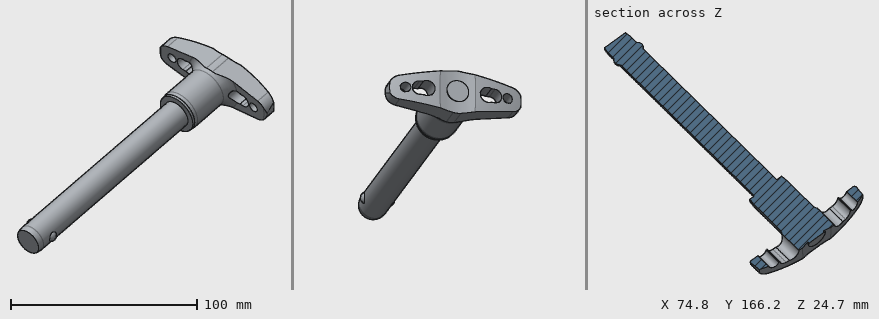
import cadquery as cq
import math


pin_radius = 8.0
pin_length = 124.0
pin_end_radius = 7.4
pin_end_length = 3.5

ball_radius = 3.3
ball_reach = 9.5
ball_from_end = 11.3

sleeve_radius = 11.75
sleeve_end_radius = 11.5
sleeve_end_length = 2.1
collar_radius = 11.4
collar_thickness = 1.5
flare_radius = 5.4

overall_length = 166.2
handle_length = 74.8
handle_width = 24.66
tip_radius = 7.1
underside_depth = 11.7
rim_depth = 12.15
rim_draft_depth = 10.9
rim_draft_angle = 6.0
rim_edge_radius = 1.5
crest_offset = 10.0
crest_radius = 80.0
valley_depth = 1.35

hole_radius = 2.75
hole_offset = 28.5
slot_inner_radius = 4.35
slot_inner_offset = 17.0
slot_outer_radius = 3.9
slot_outer_offset = 21.0

button_radius = 6.1
button_base_radius = 5.0
button_height = 1.6

handle_top = overall_length - pin_length
underside = handle_top - underside_depth
handle_half = handle_length / 2
hub_radius = handle_width / 2
sides = (-1, 1)


def xz_plane(y):
    """Workplane at a Y station, facing -Y."""
    return cq.Workplane("XZ", origin=(0, y, 0))


def revolve_about_y(profile):
    """Revolve a closed XY profile a full turn about the Y axis."""
    return profile.revolve(360, (0, 0, 0), (0, 1, 0))


def arc_drop(radius, distance):
    """How far an arc falls away from its tangent at a distance along that tangent."""
    return radius - math.sqrt(radius**2 - distance**2)


def arc_radius(distance, drop):
    """Radius of the arc that falls by `drop` at a distance along its tangent."""
    return (distance**2 + drop**2) / (2 * drop)


def crest_y(r):
    """Y of the arched handle top at a distance from the pin axis."""
    return handle_top - arc_drop(crest_radius, r - crest_offset)


def make_lens():
    """Prism with the handle outline: a hub arc and two tip arcs joined by common tangents."""
    tip_center = handle_half - tip_radius
    lean = math.asin((hub_radius - tip_radius) / tip_center)
    hub_x = hub_radius * math.sin(lean)
    hub_z = hub_radius * math.cos(lean)
    tip_x = tip_center + tip_radius * math.sin(lean)
    tip_z = tip_radius * math.cos(lean)
    return (
        xz_plane(handle_top)
        .moveTo(-hub_x, hub_z)
        .threePointArc((0, hub_radius), (hub_x, hub_z))
        .lineTo(tip_x, tip_z)
        .threePointArc((handle_half, 0), (tip_x, -tip_z))
        .lineTo(hub_x, -hub_z)
        .threePointArc((0, -hub_radius), (-hub_x, -hub_z))
        .lineTo(-tip_x, -tip_z)
        .threePointArc((-handle_half, 0), (-tip_x, tip_z))
        .close()
        .extrude(handle_top)
    )


def make_handle_disc():
    """Turned disc: arched top, drafted rim, coned underside and a flared neck."""
    draft_start = handle_top - rim_draft_depth
    draft_run = math.tan(math.radians(rim_draft_angle))
    rim_top_r = handle_half - rim_draft_depth * draft_run
    rim_top_r = handle_half - (crest_y(rim_top_r) - draft_start) * draft_run
    arch_mid_r = (crest_offset + rim_top_r) / 2
    rim_bottom = handle_top - rim_depth
    edge_bend = rim_edge_radius * (1 - math.sqrt(0.5))
    edge_mid_y = draft_start - (draft_start - rim_bottom) * math.sqrt(0.5)
    flare_bend = flare_radius * (1 - math.sqrt(0.5))
    profile = (
        cq.Workplane("XY")
        .moveTo(0, underside - flare_radius)
        .lineTo(sleeve_radius, underside - flare_radius)
        .threePointArc(
            (sleeve_radius + flare_bend, underside - flare_bend),
            (sleeve_radius + flare_radius, underside),
        )
        .lineTo(handle_half - rim_edge_radius, rim_bottom)
        .threePointArc((handle_half - edge_bend, edge_mid_y), (handle_half, draft_start))
        .lineTo(rim_top_r, crest_y(rim_top_r))
        .threePointArc((arch_mid_r, crest_y(arch_mid_r)), (crest_offset, handle_top))
        .lineTo(0, handle_top)
        .close()
    )
    return revolve_about_y(profile)


def make_valley():
    """Shallow round-bottomed trough along Z across the top of the hub."""
    valley_radius = arc_radius(crest_offset, valley_depth)
    valley_center_y = handle_top - valley_depth + valley_radius
    trough = cq.Workplane("XY").center(0, valley_center_y).circle(valley_radius)
    return trough.extrude(handle_width, both=True)


def cut_openings(handle):
    """Round hole and keyhole slot through each arm of the handle."""
    slot_middle = (slot_outer_offset + slot_inner_offset) / 2
    slot_width = 2 * slot_outer_radius
    slot_length = slot_outer_offset - slot_inner_offset + slot_width
    start = xz_plane(handle_top)
    for side in sides:
        hole = start.center(side * hole_offset, 0).circle(hole_radius).extrude(handle_top)
        slot = start.center(side * slot_middle, 0).slot2D(slot_length, slot_width).extrude(handle_top)
        slot_end = start.center(side * slot_inner_offset, 0).circle(slot_inner_radius).extrude(handle_top)
        handle = handle.cut(hole).cut(slot).cut(slot_end)
    return handle


def make_sleeve_and_pin():
    """Turned sleeve, collar and pin, with a rounded nose on the pin."""
    nose_radius = arc_radius(pin_end_length, pin_radius - pin_end_radius)
    nose_start = pin_end_length - pin_length
    nose_half = pin_end_length / 2
    nose_mid = (pin_radius - arc_drop(nose_radius, nose_half), nose_start - nose_half)
    profile = (
        cq.Workplane("XY")
        .moveTo(0, underside)
        .lineTo(sleeve_radius, underside)
        .lineTo(sleeve_radius, collar_thickness + sleeve_end_length)
        .lineTo(sleeve_end_radius, collar_thickness)
        .lineTo(collar_radius, collar_thickness)
        .lineTo(collar_radius, 0)
        .lineTo(pin_radius, 0)
        .lineTo(pin_radius, nose_start)
        .threePointArc(nose_mid, (pin_end_radius, -pin_length))
        .lineTo(0, -pin_length)
        .close()
    )
    return revolve_about_y(profile)


def make_ball(side):
    """Locking ball standing out of the pin near its nose."""
    center_x = side * (ball_reach - ball_radius)
    return cq.Workplane("XY").sphere(ball_radius).translate((center_x, ball_from_end - pin_length, 0))


def make_button():
    """Flat release button, level with the handle crest and tapered towards the handle."""
    button_base = handle_top - button_height
    profile = (
        cq.Workplane("XY")
        .moveTo(0, button_base)
        .lineTo(button_base_radius, button_base)
        .lineTo(button_radius, handle_top)
        .lineTo(0, handle_top)
        .close()
    )
    return revolve_about_y(profile)


handle = cut_openings(make_handle_disc().intersect(make_lens()).cut(make_valley()))
result = handle.union(make_sleeve_and_pin()).union(make_button())
for side in sides:
    result = result.union(make_ball(side))